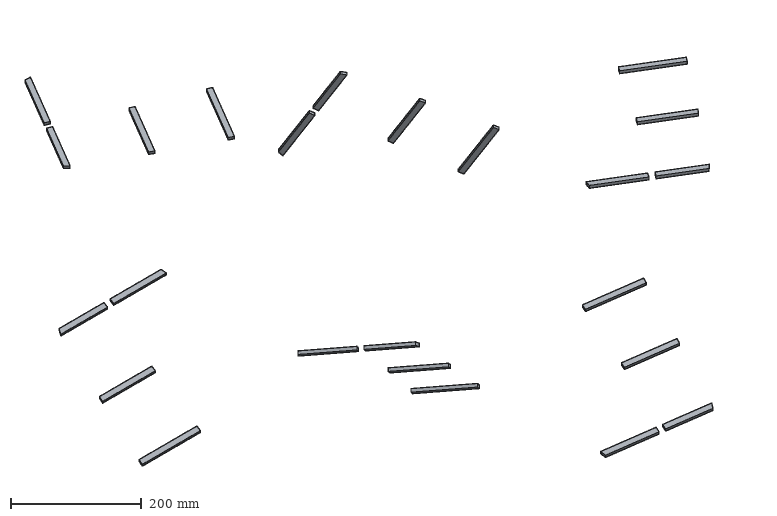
import cadquery as cq

bar_depth = 10.0
bar_height = 6.0

row_span = 268.0
middle_row_y = 133.0
back_row_y = row_span - bar_depth
overall_width = 214.7

back_length = 106.7
middle_length = 97.0
front_right_length = 85.8
front_left_length = 96.7

back_slant = 0.5
middle_slant = 0.8
front_slant = 3.2

front_left_square_x = back_length - overall_width + front_left_length


def slanted_bar(square_x, front_y, length, slant, direction):
    """Bar running from its square end along direction (+1 or -1) in X to its slanted end."""
    back_y = front_y + bar_depth
    return (
        cq.Workplane("XY")
        .moveTo(square_x, front_y)
        .lineTo(square_x + direction * (length - slant), front_y)
        .lineTo(square_x + direction * length, back_y)
        .lineTo(square_x, back_y)
        .close()
        .extrude(bar_height)
    )


back_bar = slanted_bar(0, back_row_y, back_length, back_slant, 1)
middle_bar = slanted_bar(0, middle_row_y, middle_length, middle_slant, 1)
front_right_bar = slanted_bar(0, 0, front_right_length, front_slant, 1)
front_left_bar = slanted_bar(front_left_square_x, 0, front_left_length, front_slant, -1)

result = cq.Compound.makeCompound(
    [back_bar.val(), middle_bar.val(), front_right_bar.val(), front_left_bar.val()]
)